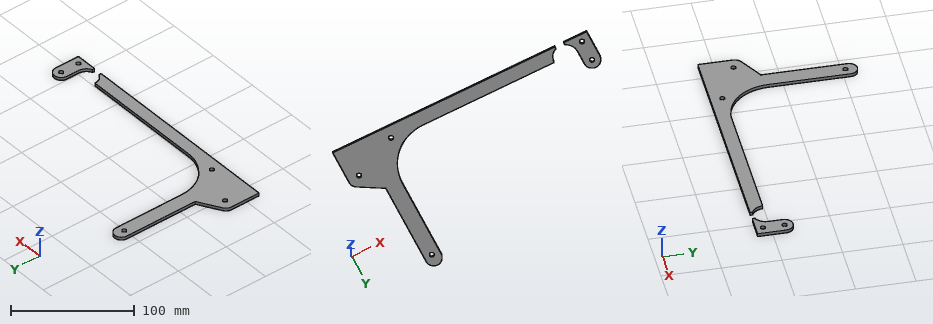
import cadquery as cq
import math

thickness = 3.0
hole_diameter = 4.0
overall_length = 230.53
overall_height = 125.3
bar_height = 11.8

arm_width = 13.9
arm_left = 24.1
arm_right = arm_left + arm_width
arm_radius = arm_width / 2
arm_shoulder = overall_height - arm_radius
arm_hole_drop = 10.0
inner_fillet_radius = 38.0

ear_radius = 7.5
ear_center_y = 28.7
ear_hole_x = 10.0
ear_hole_y = 27.3
ear_slope = math.radians(30)

web_hole_x = 48.0
web_hole_y = 10.0

tab_width = 14.35
tab_left = overall_length - tab_width
tab_radius = tab_width / 2
tab_center_x = overall_length - tab_radius
tab_height = 30.9
tab_shoulder = tab_height - tab_radius
tab_lower_hole_y = 5.9
tab_upper_hole_y = 23.8

notch_radius = 10.53
notch_center_x = tab_left - notch_radius
gap_width = 8.2
gap_left = notch_center_x - gap_width / 2
gap_right = notch_center_x + gap_width / 2
gap_edge_top = bar_height - math.sqrt(notch_radius**2 - (gap_width / 2) ** 2)


def on_circle(center_x, center_y, radius, degrees):
    angle = math.radians(degrees)
    return (center_x + radius * math.cos(angle), center_y + radius * math.sin(angle))


def on_notch(degrees):
    return on_circle(notch_center_x, bar_height, notch_radius, degrees)


def drill(plate, centers):
    """Cut the screw holes through a plate."""
    holes = cq.Workplane("XY").pushPoints(centers).circle(hole_diameter / 2).extrude(thickness)
    return plate.cut(holes)


def make_bracket():
    """L-shaped plate with an ear, an upright arm and a long bar."""
    fillet_x = arm_right + inner_fillet_radius
    fillet_y = bar_height + inner_fillet_radius
    ear_tangent = on_circle(ear_radius, ear_center_y, ear_radius, 120)
    slope_top = ear_tangent[1] + (arm_left - ear_tangent[0]) * math.tan(ear_slope)
    plate = (
        cq.Workplane("XY")
        .moveTo(0, 0)
        .lineTo(gap_left, 0)
        .lineTo(gap_left, gap_edge_top)
        .threePointArc(on_notch(210), on_notch(180))
        .lineTo(fillet_x, bar_height)
        .threePointArc(
            on_circle(fillet_x, fillet_y, inner_fillet_radius, 225),
            (arm_right, fillet_y),
        )
        .lineTo(arm_right, arm_shoulder)
        .threePointArc((arm_left + arm_radius, overall_height), (arm_left, arm_shoulder))
        .lineTo(arm_left, slope_top)
        .lineTo(*ear_tangent)
        .threePointArc(on_circle(ear_radius, ear_center_y, ear_radius, 150), (0, ear_center_y))
        .close()
        .extrude(thickness)
    )
    hole_centers = [
        (ear_hole_x, ear_hole_y),
        (web_hole_x, web_hole_y),
        (arm_left + arm_radius, overall_height - arm_hole_drop),
    ]
    return drill(plate, hole_centers)


def make_tab():
    """Round-topped plate whose foot reaches toward the bar."""
    plate = (
        cq.Workplane("XY")
        .moveTo(gap_right, 0)
        .lineTo(overall_length, 0)
        .lineTo(overall_length, tab_shoulder)
        .threePointArc((tab_center_x, tab_height), (tab_left, tab_shoulder))
        .lineTo(tab_left, bar_height)
        .threePointArc(on_notch(-30), (gap_right, gap_edge_top))
        .close()
        .extrude(thickness)
    )
    hole_centers = [(tab_center_x, tab_lower_hole_y), (tab_center_x, tab_upper_hole_y)]
    return drill(plate, hole_centers)


bracket = make_bracket()
tab = make_tab()
result = cq.Compound.makeCompound([bracket.val(), tab.val()])